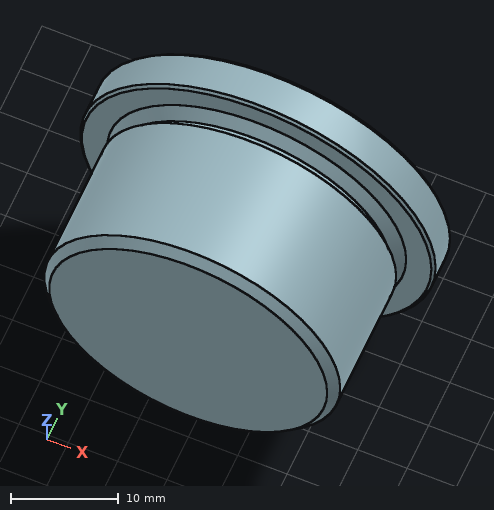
import cadquery as cq

flange_diameter = 36.0
body_diameter = 30.0
total_length = 20.0
flange_thickness = 4.0

flange_chamfer = 0.3
body_chamfer = 0.92

groove_depth = body_chamfer
groove_flange_flank = 1.07

flange_radius = flange_diameter / 2
body_radius = body_diameter / 2
groove_root_radius = body_radius - groove_depth
groove_mouth_radius = groove_root_radius + groove_flange_flank

body_end = 0.0
flange_back = body_end + total_length
flange_front = flange_back - flange_thickness
groove_root = flange_front - groove_flange_flank
body_shoulder = groove_root - groove_depth


def turned_profile():
    """Half section of the plug in the XY plane, closed along the Y axis."""
    return (
        cq.Workplane("XY")
        .moveTo(0, body_end)
        .lineTo(body_radius - body_chamfer, body_end)
        .lineTo(body_radius, body_end + body_chamfer)
        .lineTo(body_radius, body_shoulder)
        .lineTo(groove_root_radius, groove_root)
        .lineTo(groove_mouth_radius, flange_front)
        .lineTo(flange_radius - flange_chamfer, flange_front)
        .lineTo(flange_radius, flange_front + flange_chamfer)
        .lineTo(flange_radius, flange_back - flange_chamfer)
        .lineTo(flange_radius - flange_chamfer, flange_back)
        .lineTo(0, flange_back)
        .close()
    )


result = turned_profile().revolve(360, (0, 0, 0), (0, 1, 0))